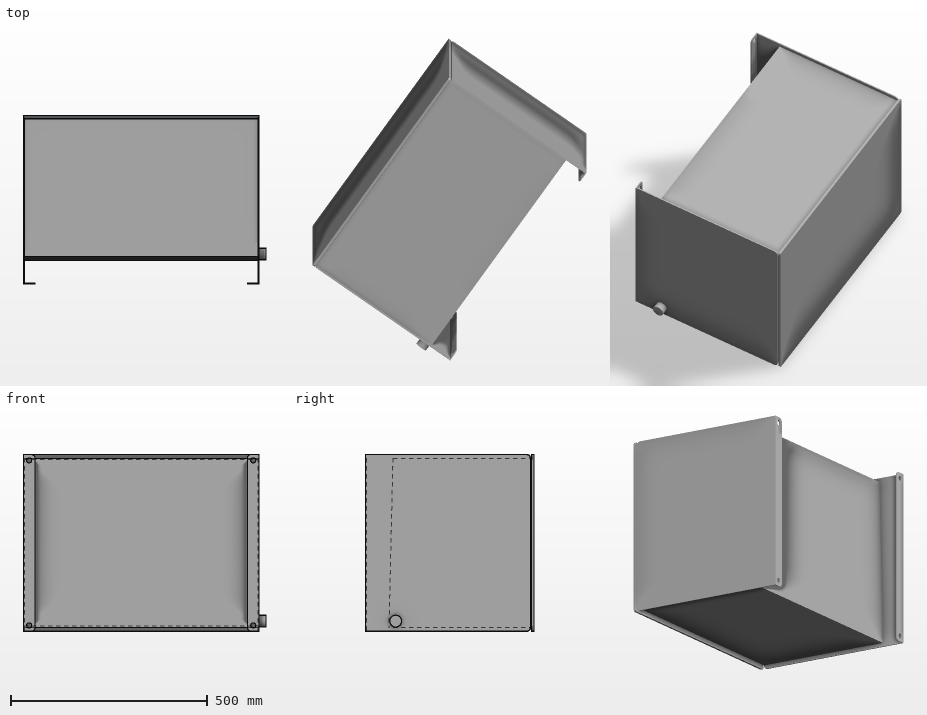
import cadquery as cq

width = 600.0
depth = 429.0
height = 450.0
sheet = 3.0
flange_width = 30.0
flange_corner_radius = 10.0
panel_corner_radius = 10.0
hole_diameter = 13.0
hole_inset = 15.0

cover_thickness = 6.0
cover_gap = sheet
cover_corner_radius = 5.0

body_inset = 10.0
neck_inset = body_inset + sheet
front_setback_top = 70.0
front_setback_bottom = 60.0

stub_diameter = 30.0
stub_length = 18.0
stub_front_distance = 77.0
stub_base_distance = 26.0

half_width = width / 2
half_height = height / 2
front_y = -depth / 2
back_y = depth / 2
cover_front_y = back_y - cover_thickness
panel_back_y = cover_front_y - cover_gap
inner_width = width - 2 * sheet


def make_side_panel(side):
    """Side panel and its inward front flange; side is -1 or +1 along X."""
    outer_x = side * half_width
    panel = (
        cq.Workplane("YZ", origin=(outer_x, 0, 0))
        .moveTo((front_y + panel_back_y) / 2, 0)
        .rect(panel_back_y - front_y, height)
        .extrude(-side * sheet)
        .edges("|X and >Y")
        .fillet(panel_corner_radius)
    )
    flange_center_x = side * (half_width - flange_width / 2)
    inner_edges = "|Y and <X" if side > 0 else "|Y and >X"
    flange = (
        cq.Workplane("XZ", origin=(0, front_y, 0))
        .moveTo(flange_center_x, 0)
        .rect(flange_width, height)
        .extrude(-sheet)
        .edges(inner_edges)
        .fillet(flange_corner_radius)
    )
    hole_x = side * (half_width - hole_inset)
    hole_z = half_height - hole_inset
    holes = (
        cq.Workplane("XZ", origin=(0, front_y, 0))
        .pushPoints([(hole_x, hole_z), (hole_x, -hole_z)])
        .circle(hole_diameter / 2)
        .extrude(-sheet)
    )
    return panel.union(flange.cut(holes))


def make_body():
    """Closed body whose front wall leans back towards the top, with a neck behind the panels."""
    body_top = half_height - body_inset
    neck_top = half_height - neck_inset
    return (
        cq.Workplane("YZ", origin=(-inner_width / 2, 0, 0))
        .moveTo(front_y + front_setback_bottom, -body_top)
        .lineTo(panel_back_y, -body_top)
        .lineTo(panel_back_y, -neck_top)
        .lineTo(cover_front_y, -neck_top)
        .lineTo(cover_front_y, neck_top)
        .lineTo(panel_back_y, neck_top)
        .lineTo(panel_back_y, body_top)
        .lineTo(front_y + front_setback_top, body_top)
        .close()
        .extrude(inner_width)
    )


def make_cover():
    """Rear plate with rounded corners."""
    return (
        cq.Workplane("XZ", origin=(0, cover_front_y, 0))
        .rect(width, height)
        .extrude(-cover_thickness)
        .edges("|Y")
        .fillet(cover_corner_radius)
    )


def make_stub():
    """Round stub low on the +X panel."""
    stub_y = front_y + stub_front_distance
    stub_z = -half_height + stub_base_distance
    return (
        cq.Workplane("YZ", origin=(half_width, stub_y, stub_z))
        .circle(stub_diameter / 2)
        .extrude(stub_length)
    )


result = make_body().union(make_cover()).union(make_stub())
for panel_side in (-1, 1):
    result = result.union(make_side_panel(panel_side))

result = result.translate((-stub_length / 2, 0, 0))